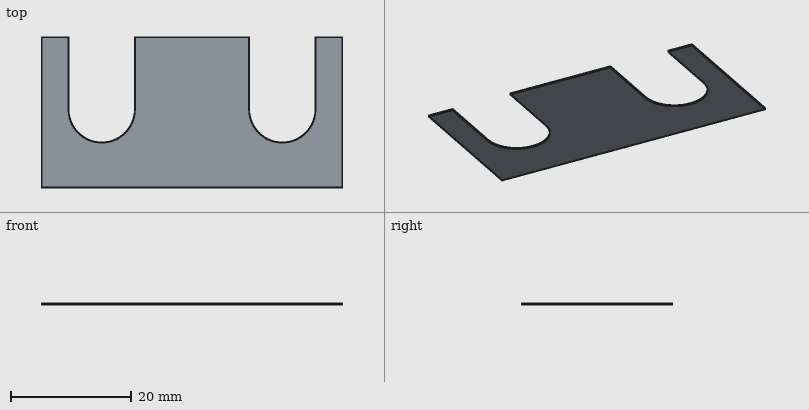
import cadquery as cq

length = 50.0
width = 25.0
thickness = 0.25

slot_width = 11.0
slot_spacing = 30.0
slot_center_depth = 12.0

slot_radius = slot_width / 2
open_edge_y = width / 2
slot_center_y = open_edge_y - slot_center_depth


def make_slot(center_x):
    """Cutter for one slot: straight sides from the open edge, semicircular end."""
    left = center_x - slot_radius
    right = center_x + slot_radius
    return (
        cq.Workplane("XY")
        .moveTo(left, open_edge_y)
        .lineTo(left, slot_center_y)
        .threePointArc((center_x, slot_center_y - slot_radius), (right, slot_center_y))
        .lineTo(right, open_edge_y)
        .close()
        .extrude(thickness)
    )


result = cq.Workplane("XY").box(length, width, thickness, centered=(True, True, False))
for slot_x in (-slot_spacing / 2, slot_spacing / 2):
    result = result.cut(make_slot(slot_x))